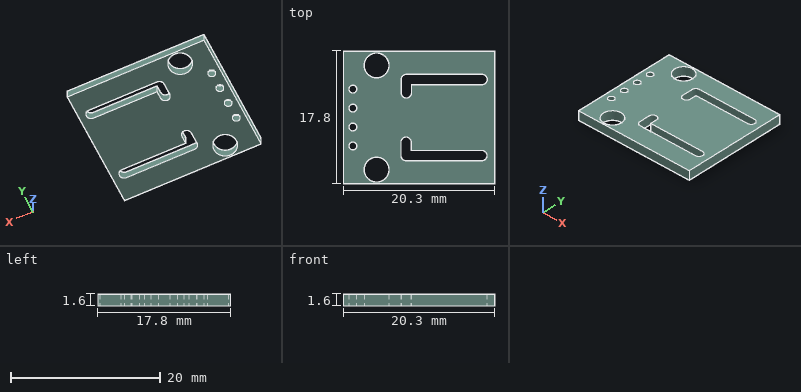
import cadquery as cq

board_length = 20.32
board_width = 17.78
board_thickness = 1.6

pin_diameter = 1.02
pin_pitch = 2.54
pin_count = 4
pin_edge_distance = 1.27

mount_diameter = 3.3
mount_end_distance = 4.445
mount_side_distance = 1.905

slot_width = 1.35
slot_arm_y = 5.1
slot_inner_y = 2.63
slot_arm_reach = 10.16
upper_slot_corner_x = -1.73
lower_slot_corner_x = -1.76


def through_holes(points, diameter):
    """Round cutters through the full board thickness."""
    return cq.Workplane("XY").pushPoints(points).circle(diameter / 2).extrude(board_thickness)


def rounded_arm(centre, length, angle):
    """Cutter for a straight round-ended slot of the given overall length, turned by angle from +X."""
    return (
        cq.Workplane("XY")
        .center(*centre)
        .slot2D(length, slot_width, angle)
        .extrude(board_thickness)
    )


def l_slot(side, corner_x):
    """L-shaped cutter on the +Y (side = 1) or -Y (side = -1) half of the board."""
    short_reach = slot_arm_y - slot_inner_y - slot_width / 2
    long_centre = (corner_x + slot_arm_reach / 2, side * slot_arm_y)
    short_centre = (corner_x, side * (slot_arm_y - short_reach / 2))
    long_arm = rounded_arm(long_centre, slot_arm_reach + slot_width, 0)
    short_arm = rounded_arm(short_centre, short_reach + slot_width, 90)
    return long_arm.union(short_arm)


board = cq.Workplane("XY").box(
    board_length, board_width, board_thickness, centered=(True, True, False)
)

pin_x = pin_edge_distance - board_length / 2
pin_points = [(pin_x, (i - (pin_count - 1) / 2) * pin_pitch) for i in range(pin_count)]

mount_x = mount_end_distance - board_length / 2
mount_y = board_width / 2 - mount_side_distance
mount_points = [(mount_x, side * mount_y) for side in (1, -1)]

result = (
    board.cut(through_holes(pin_points, pin_diameter))
    .cut(through_holes(mount_points, mount_diameter))
    .cut(l_slot(1, upper_slot_corner_x))
    .cut(l_slot(-1, lower_slot_corner_x))
)